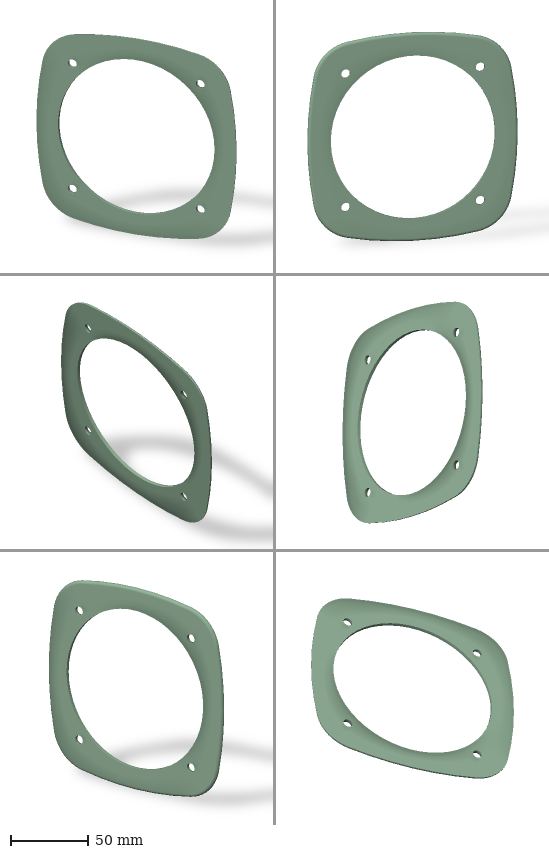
import cadquery as cq
import math

width = 139.2
thickness = 2.4
edge_rounding = 2.0

side_radius = 225.5
corner_radius = 27.8

bore_diameter = 109.0
hole_diameter = 6.0
hole_spacing = 89.1

half_width = width / 2

side_centre_offset = side_radius - half_width

centre_distance = side_radius - corner_radius
corner_centre = (math.sqrt(2 * centre_distance**2 - side_centre_offset**2) - side_centre_offset) / 2

tangent_x = corner_centre * side_radius / centre_distance
tangent_z = (corner_centre + side_centre_offset) * side_radius / centre_distance - side_centre_offset
corner_middle = corner_centre + corner_radius / math.sqrt(2)


def rotate_quarters(point, quarters):
    """Turn a point clockwise about the plate centre by a number of quarter turns."""
    x, z = point
    for _ in range(quarters):
        x, z = z, -x
    return x, z


def make_plate():
    """Cushion-shaped plate with its front face at -Y and a rounded rear rim."""
    outline = cq.Workplane("XZ", origin=(0, thickness / 2, 0)).moveTo(-tangent_x, tangent_z)
    for quarters in range(4):
        side_middle = rotate_quarters((0, half_width), quarters)
        side_end = rotate_quarters((tangent_x, tangent_z), quarters)
        corner_mid = rotate_quarters((corner_middle, corner_middle), quarters)
        corner_end = rotate_quarters((tangent_z, tangent_x), quarters)
        outline = outline.threePointArc(side_middle, side_end).threePointArc(corner_mid, corner_end)
    plate = outline.close().extrude(thickness)
    return plate.faces(">Y").edges().fillet(edge_rounding)


def make_openings():
    """Central bore and the four screw holes, as cutting cylinders through the plate."""
    section = cq.Workplane("XZ", origin=(0, thickness / 2, 0))
    bore = section.circle(bore_diameter / 2).extrude(thickness)
    holes = section.rect(hole_spacing, hole_spacing, forConstruction=True).vertices()
    return bore.add(holes.circle(hole_diameter / 2).extrude(thickness)).combine()


result = make_plate().cut(make_openings())